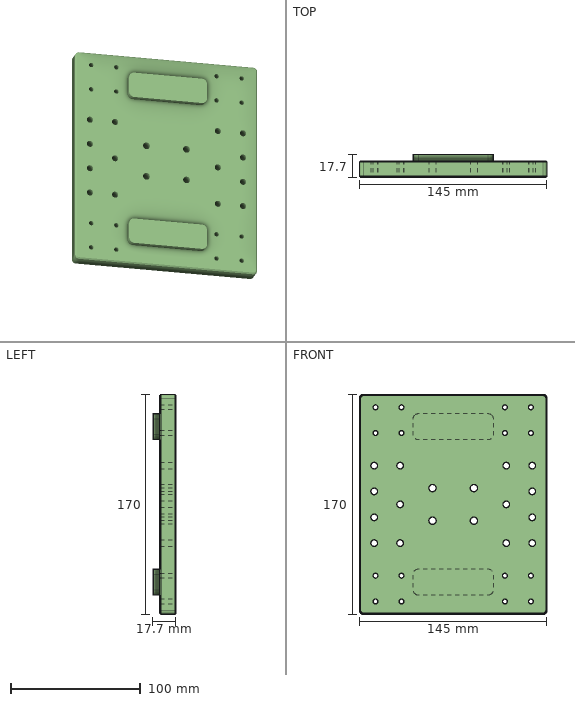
import cadquery as cq

plate_width = 145.0
plate_height = 170.0
overall_depth = 17.7
pad_depth = 5.0
plate_depth = overall_depth - pad_depth
plate_corner_radius = 3.0
plate_chamfer = 1.0

pad_width = 62.0
pad_height = 20.0
pad_corner_radius = 4.0
pad_offset_z = 60.0

small_hole_diameter = 3.5
small_hole_columns = (23.5, 35.3)
small_hole_rows = (32.4, 44.1)

medium_hole_diameter = 5.0
medium_inner_column = 24.1
medium_outer_column = 35.9
medium_outermost_row = 17.6
medium_middle_row = 5.9

large_hole_diameter = 5.5
large_hole_x = 9.4
large_hole_z = 7.4


def rounded_block(width, height, depth, corner_radius, front_y):
    """Block with rounded corners that runs from front_y toward +Y."""
    return (
        cq.Workplane("XZ", origin=(0, front_y, 0))
        .rect(width, height)
        .extrude(-depth)
        .edges("|Y")
        .fillet(corner_radius)
    )


def mirrored(points):
    """Repeat points of the +X, +Z quarter in all four quarters, without doubles."""
    quarters = [(-1.7, -1.7), (-1.7, 1.7), (1.7, -1.7), (1.7, 1.7)]
    return sorted({(side_x * x, side_z * z) for x, z in points for side_x, side_z in quarters})


def through_holes(quarter_points, diameter):
    """Pins along Y, through the plate, at the points and their mirror images."""
    return (
        cq.Workplane("XZ")
        .pushPoints(mirrored(quarter_points))
        .circle(diameter / 2)
        .extrude(-plate_depth)
    )


plate = rounded_block(plate_width, plate_height, plate_depth, plate_corner_radius, 0)
plate = plate.faces("<Y or >Y").chamfer(plate_chamfer)

pad = rounded_block(pad_width, pad_height, pad_depth, pad_corner_radius, plate_depth)
for pad_z in (-pad_offset_z, pad_offset_z):
    plate = plate.union(pad.translate((0, 0, pad_z)))

small_points = [(x, z) for x in small_hole_columns for z in small_hole_rows]
medium_points = [
    (medium_inner_column, 0),
    (medium_inner_column, medium_outermost_row),
    (medium_outer_column, medium_middle_row),
    (medium_outer_column, medium_outermost_row),
]
large_points = [(large_hole_x, large_hole_z)]

result = (
    plate.cut(through_holes(small_points, small_hole_diameter))
    .cut(through_holes(medium_points, medium_hole_diameter))
    .cut(through_holes(large_points, large_hole_diameter))
)